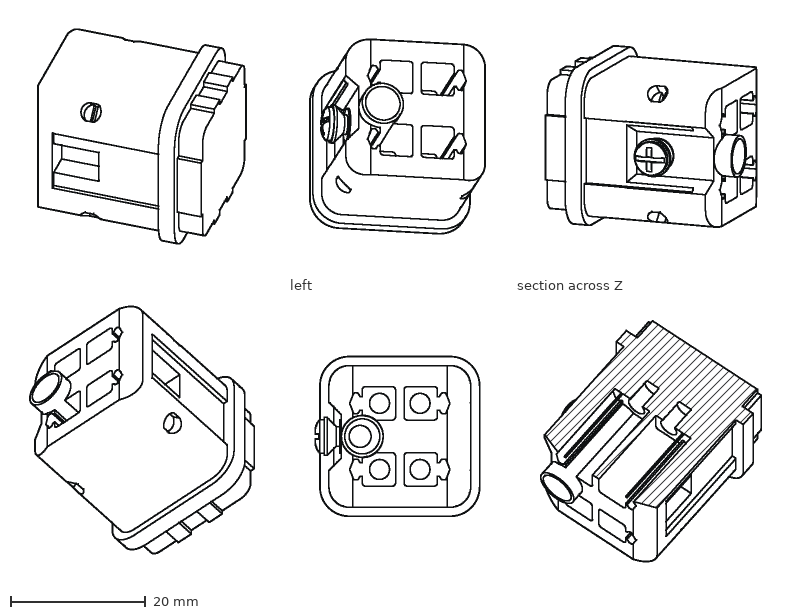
import cadquery as cq


total_length = 28.8
body_start = 2.1
body_size = 21.0
body_corner = 3.0
chamfer_length = 1.25
chamfer_width = 3.5
half_body = body_size / 2

flange_start = 22.6
flange_length = 2.5
flange_size = 23.7
flange_corner = body_corner + (flange_size - body_size) / 2
flange_end = flange_start + flange_length

rib_height = 0.7
mating_size = body_size - 2 * rib_height
mating_corner = 2.0
mating_length = total_length - flange_end
side_rib_width = 9.8
top_rib_width = 2.55
top_rib_offset = 3.0
top_groove_depth = 0.15

chamber_y = 3.1
chamber_z = 4.9
chamber_size = 4.95
chamber_corner = 0.5
chamber_end = 16.0
neck_half_height = 1.0
neck_length = 0.3
lobe_half_height = 1.54
lobe_rise_length = 0.35
lobe_crest_length = 0.6
lobe_reach = 1.85
lobe_fillet = 0.28
contact_hole_y = 3.0
contact_hole_radius = 1.48
contact_hole_depth = 4.0

tube_y = 5.56
tube_mouth_radius = 3.1
tube_root_radius = 3.14
tube_bore_radius = 2.6
earth_hole_y = 5.88
earth_hole_radius = 1.63

recess_start = 5.55
recess_half_width = 5.0
recess_depth = 0.7
pocket_length = 7.05
pocket_half_width = 2.62
pocket_depth = 3.6

notch_end = 15.0
notch_floor = 8.7
notch_ramp_length = half_body - recess_depth - notch_floor
notch_floor_half_width = 3.25
notch_mouth_half_width = notch_floor_half_width + half_body - notch_floor

screw_x = 11.57
washer_radius = 2.47
washer_top = 8.92
shank_radius = 1.45
cone_base = 9.4
collar_radius = 2.82
collar_base = 10.77
head_base = 11.2
head_radius = 2.5
head_edge = 11.83
head_top = 12.53
dome_flat_radius = 1.2
dome_mid_radius = 1.95
dome_mid = 12.26
slot_x_width = 0.7
slot_x_depth = 0.5
slot_z_width = 0.8
slot_z_depth = 0.2

access_x = 11.3
access_radius = 1.525
access_half_height = 1.38
access_floor = 0.85
driver_slot_width = 0.62
driver_slot_depth = 1.02
corner_axis = half_body - body_corner


def square_prism(start, length, size, corner):
    """Square bar along X with rounded long edges."""
    bar = cq.Workplane("YZ", origin=(start, 0, 0)).rect(size, size).extrude(length)
    return bar.edges("|X").fillet(corner)


def box(x_range, y_range, z_range):
    """Box given by its limits along each axis."""
    spans = [high - low for low, high in (x_range, y_range, z_range)]
    return cq.Workplane("XY", origin=(x_range[0], y_range[0], z_range[0])).box(*spans, centered=False)


def cylinder_along_x(start, end, y, z, radius):
    return cq.Workplane("YZ", origin=(start, y, z)).circle(radius).extrude(end - start)


def make_body():
    """Rounded body with both Y edges of its entry face cut back."""
    body = square_prism(body_start, flange_start - body_start, body_size, body_corner)
    chamfered_outline = (
        cq.Workplane("XY", origin=(0, 0, -half_body))
        .moveTo(body_start, half_body - chamfer_width)
        .lineTo(body_start + chamfer_length, half_body)
        .lineTo(flange_start, half_body)
        .lineTo(flange_start, -half_body)
        .lineTo(body_start + chamfer_length, -half_body)
        .lineTo(body_start, chamfer_width - half_body)
        .close()
        .extrude(body_size)
    )
    return body.intersect(chamfered_outline)


def make_mating_end():
    """Reduced square end: a wide rib on each Y side, two grooved-apart ribs on each Z side."""
    mating = square_prism(flange_end, mating_length, mating_size, mating_corner)
    x_range = (flange_end, total_length)
    full_range = (-half_body, half_body)
    mating = mating.union(box(x_range, full_range, (-side_rib_width / 2, side_rib_width / 2)))
    for offset in (-top_rib_offset, top_rib_offset):
        rib_range = (offset - top_rib_width / 2, offset + top_rib_width / 2)
        mating = mating.union(box(x_range, rib_range, full_range))
    groove_half_width = top_rib_offset - top_rib_width / 2
    groove_floor = mating_size / 2 - top_groove_depth
    groove_range = (-groove_half_width, groove_half_width)
    for z_range in ((groove_floor, half_body), (-half_body, -groove_floor)):
        mating = mating.cut(box(x_range, groove_range, z_range))
    return mating


def make_chamber(y_side, z_side):
    """Square contact chamber with an outward key lobe and a contact hole in its floor."""
    length = chamber_end - body_start
    square = (
        cq.Workplane("YZ", origin=(body_start, chamber_y, chamber_z))
        .rect(chamber_size, chamber_size)
        .extrude(length)
        .edges("|X")
        .fillet(chamber_corner)
    )
    neck_start = chamber_size / 2
    lobe_start = neck_start + neck_length
    crest_start = lobe_start + lobe_rise_length
    crest_end = crest_start + lobe_crest_length
    upper_side = [
        (0, neck_half_height),
        (lobe_start, neck_half_height),
        (crest_start, lobe_half_height),
        (crest_end, lobe_half_height),
    ]
    lower_side = [(y, -z) for y, z in reversed(upper_side)]
    lobe = (
        cq.Workplane("YZ", origin=(body_start, chamber_y, chamber_z))
        .polyline(upper_side + [(neck_start + lobe_reach, 0)] + lower_side)
        .close()
        .extrude(length)
        .edges("|X and (>Z or <Z)")
        .fillet(lobe_fillet)
    )
    hole_end = chamber_end + contact_hole_depth
    hole = cylinder_along_x(chamber_end, hole_end, contact_hole_y, chamber_z, contact_hole_radius)
    chamber = square.union(lobe).union(hole)
    if y_side < 0:
        chamber = chamber.mirror("XZ")
    if z_side < 0:
        chamber = chamber.mirror("XY")
    return chamber


def make_tube():
    """Slightly tapered solid of the earth conductor tube."""
    return (
        cq.Workplane("YZ", origin=(0, tube_y, 0))
        .circle(tube_mouth_radius)
        .workplane(offset=chamber_end)
        .circle(tube_root_radius)
        .loft()
    )


def make_tube_bore():
    """Tube bore with a smaller hole in its floor."""
    bore = cylinder_along_x(0, chamber_end, tube_y, 0, tube_bore_radius)
    hole_end = chamber_end + contact_hole_depth
    return bore.union(cylinder_along_x(chamber_end, hole_end, earth_hole_y, 0, earth_hole_radius))


def make_side_recess(side):
    """Shallow recess in one Y face, running up to the flange."""
    y_range = sorted((side * half_body, side * (half_body - recess_depth)))
    return box((recess_start, flange_start), y_range, (-recess_half_width, recess_half_width))


def make_latch_pocket():
    """Deep pocket in the floor of the -Y recess."""
    recess_floor = recess_depth - half_body
    x_range = (recess_start, recess_start + pocket_length)
    y_range = (-half_body, recess_floor + pocket_depth)
    return box(x_range, y_range, (-pocket_half_width, pocket_half_width))


def make_screw_notch():
    """Sloped-wall notch in the +Y face, open at the entry end and ramping up to the recess floor."""
    ramp_end = notch_end + notch_ramp_length
    ramp_top = half_body - recess_depth
    trough = (
        cq.Workplane("YZ", origin=(body_start, 0, 0))
        .moveTo(notch_floor, -notch_floor_half_width)
        .lineTo(half_body, -notch_mouth_half_width)
        .lineTo(half_body, notch_mouth_half_width)
        .lineTo(notch_floor, notch_floor_half_width)
        .close()
        .extrude(ramp_end - body_start)
    )
    side_outline = (
        cq.Workplane("XY", origin=(0, 0, -notch_mouth_half_width))
        .moveTo(body_start, notch_floor)
        .lineTo(notch_end, notch_floor)
        .lineTo(ramp_end, ramp_top)
        .lineTo(ramp_end, half_body)
        .lineTo(body_start, half_body)
        .close()
        .extrude(2 * notch_mouth_half_width)
    )
    return trough.intersect(side_outline)


def make_earth_screw():
    """Domed, cross-slotted screw standing on the notch floor."""
    screw = (
        cq.Workplane("XY", origin=(screw_x, 0, 0))
        .moveTo(0, notch_floor)
        .lineTo(washer_radius, notch_floor)
        .lineTo(washer_radius, washer_top)
        .lineTo(shank_radius, washer_top)
        .lineTo(shank_radius, cone_base)
        .lineTo(collar_radius, collar_base)
        .lineTo(collar_radius, head_base)
        .lineTo(head_radius, head_base)
        .lineTo(head_radius, head_edge)
        .threePointArc((dome_mid_radius, dome_mid), (dome_flat_radius, head_top))
        .lineTo(0, head_top)
        .close()
        .revolve(360, (0, 0, 0), (0, 1, 0))
    )
    slot_x = box(
        (screw_x - head_radius, screw_x + head_radius),
        (head_top - slot_x_depth, head_top),
        (-slot_x_width / 2, slot_x_width / 2),
    )
    slot_z = box(
        (screw_x - slot_z_width / 2, screw_x + slot_z_width / 2),
        (head_top - slot_z_depth, head_top),
        (-head_radius, head_radius),
    )
    return screw.cut(slot_x).cut(slot_z)


def make_corner_access(y_side, z_side):
    """Flat-sided diagonal hole in a body corner; the +Z ones have a driver slot in the floor."""
    diagonal = cq.Plane(
        origin=(access_x, y_side * corner_axis, z_side * corner_axis),
        xDir=(1, 0, 0),
        normal=(0, y_side, z_side),
    )
    depth = body_corner - access_floor
    flats = (
        cq.Workplane(diagonal)
        .workplane(offset=access_floor)
        .rect(2 * access_radius, 2 * access_half_height)
        .extrude(depth)
    )
    hole = cq.Workplane(diagonal).workplane(offset=access_floor).circle(access_radius).extrude(depth)
    hole = hole.intersect(flats)
    if z_side > 0:
        slot = (
            cq.Workplane(diagonal)
            .workplane(offset=access_floor - driver_slot_depth)
            .rect(driver_slot_width, 2 * access_half_height)
            .extrude(driver_slot_depth)
        )
        hole = hole.union(slot)
    return hole


corners = [(y_side, z_side) for y_side in (-1, 1) for z_side in (-1, 1)]

result = make_body()
result = result.union(square_prism(flange_start, flange_length, flange_size, flange_corner))
result = result.union(make_mating_end())
for y_side, z_side in corners:
    result = result.cut(make_chamber(y_side, z_side))
    result = result.cut(make_corner_access(y_side, z_side))
for side in (-1, 1):
    result = result.cut(make_side_recess(side))
result = result.cut(make_latch_pocket()).cut(make_screw_notch())
result = result.union(make_tube()).cut(make_tube_bore())
result = result.union(make_earth_screw())